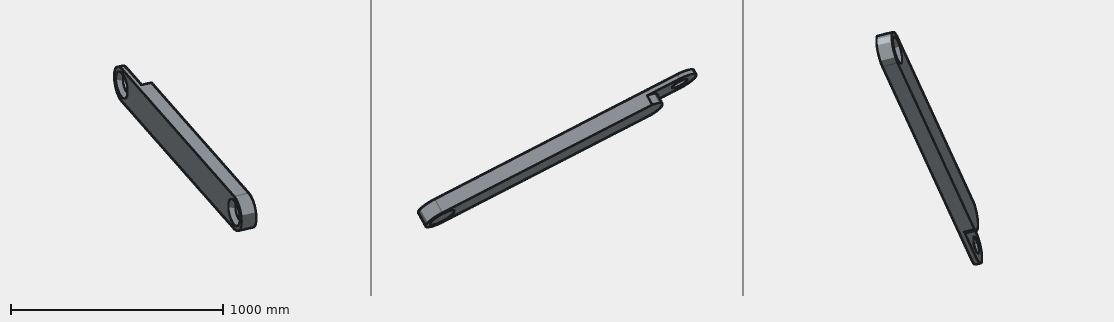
import cadquery as cq

height = 177.8
thickness = 76.2
pin_spacing = 1295.4
end_radius = height / 2

tongue_thickness = 25.4
shoulder_tip_from_end = 208.0
shoulder_depth = 55.0

bore_diameter = 81.28
countersink_depth = 25.4
bore_radius = bore_diameter / 2
countersink_radius = bore_radius + countersink_depth

left_pin_x = -pin_spacing / 2
right_pin_x = pin_spacing / 2
left_end_x = left_pin_x - end_radius


def link_bar():
    """Full-thickness bar from the front face at Y = 0 to the back face."""
    return cq.Workplane("XZ").slot2D(pin_spacing + height, height).extrude(-thickness)


def tongue_relief():
    """Material behind the tongue, bounded on the right by the shoulder arc."""
    tip_x = left_end_x + shoulder_tip_from_end
    corner_x = tip_x + shoulder_depth
    return (
        cq.Workplane("XZ", origin=(0, tongue_thickness, 0))
        .moveTo(left_end_x, -end_radius)
        .lineTo(corner_x, -end_radius)
        .threePointArc((tip_x, 0), (corner_x, end_radius))
        .lineTo(left_end_x, end_radius)
        .close()
        .extrude(tongue_thickness - thickness)
    )


def turned_about_pin(pin_x, profile):
    """Revolve a (radius, Y) profile about the pin axis at pin_x."""
    return (
        cq.Workplane("XY", origin=(pin_x, 0, 0))
        .polyline(profile)
        .close()
        .revolve(360, (0, 0, 0), (0, 1, 0))
    )


def tongue_bore():
    """Countersink that narrows through the whole tongue."""
    profile = [
        (0, 0),
        (countersink_radius, 0),
        (bore_radius, countersink_depth),
        (0, tongue_thickness),
    ]
    return turned_about_pin(left_pin_x, profile)


def full_thickness_bore():
    """Plain bore through the right end, countersunk from both faces."""
    profile = [
        (0, 0),
        (countersink_radius, 0),
        (bore_radius, countersink_depth),
        (bore_radius, thickness - countersink_depth),
        (countersink_radius, thickness),
        (0, thickness),
    ]
    return turned_about_pin(right_pin_x, profile)


result = link_bar().cut(tongue_relief()).cut(tongue_bore()).cut(full_thickness_bore())